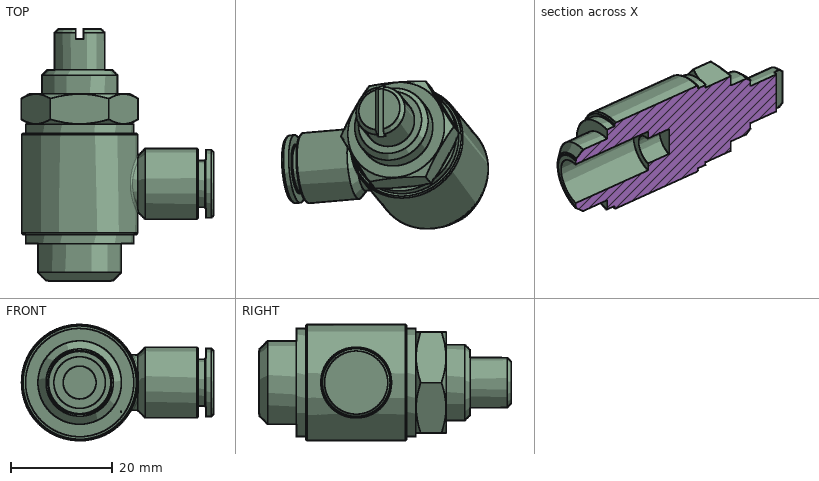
import cadquery as cq
import math


BODY_RADIUS = 11.5
BODY_HALF_LENGTH = 10.0
BODY_CHAMFER = 0.3
COLLAR_RADIUS = 10.7
COLLAR_HALF_LENGTH = 11.8

NOSE_RADIUS = 8.25
NOSE_END = -19.1
NOSE_CHAMFER = 1.6
LIP_BASE_RADIUS = 6.3
LIP_TOP_RADIUS = 6.15
LIP_HEIGHT = 0.15
OVERALL_LENGTH = 49.89

BORE_RADIUS = 5.1
BORE_FLOOR = -2.0
INNER_BORE_RADIUS = 3.25
INNER_BORE_FLOOR = 3.0

HEX_ACROSS_FLATS = 20.0
HEX_HEIGHT = 6.0
HEX_CHAMFER_ANGLE = 30.0
HEX_FACE_RADIUS = 9.9
SHOULDER_RADIUS = 7.5
SHOULDER_END = 22.5
SHOULDER_CHAMFER = 1.05
SCREW_RADIUS = 5.0
SCREW_CHAMFER = 0.8
SLOT_WIDTH = 1.5
SLOT_DEPTH = 2.0

NECK_RADIUS = 5.5
NECK_FILLET = 0.5
BRANCH_RADIUS = 7.0
BRANCH_CONE_START = 11.45
BRANCH_END = 23.45
BRANCH_CHAMFER = 0.3
RING_NECK_RADIUS = 4.65
RING_NECK_CHAMFER = 0.25
RING_RADIUS = 6.75
RING_START = 24.95
RING_END = 26.5
RING_CHAMFER = 0.5

LIP_END = NOSE_END - LIP_HEIGHT
SCREW_END = LIP_END + OVERALL_LENGTH
HEX_START = COLLAR_HALF_LENGTH
HEX_END = HEX_START + HEX_HEIGHT


def turned_about_y(profile):
    """Solid of revolution about Y from (radius, y) points, closed along the axis."""
    points = [(0, profile[0][1])] + profile + [(0, profile[-1][1])]
    return cq.Workplane("XY").polyline(points).close().revolve(360, (0, 0, 0), (0, 1, 0))


def turned_about_x(profile):
    """Solid of revolution about X from (x, radius) points, closed along the axis."""
    points = [(profile[0][0], 0)] + profile + [(profile[-1][0], 0)]
    return cq.Workplane("XY").polyline(points).close().revolve(360, (0, 0, 0), (1, 0, 0))


def cylinder_along_y(radius, start, end):
    return turned_about_y([(radius, start), (radius, end)])


def body_with_neck():
    """Chamfered body joined to the branch neck by a small fillet."""
    body = cylinder_along_y(BODY_RADIUS, -BODY_HALF_LENGTH, BODY_HALF_LENGTH)
    body = body.faces("<Y or >Y").chamfer(BODY_CHAMFER)
    neck = turned_about_x([(0, NECK_RADIUS), (BRANCH_END, NECK_RADIUS)])
    return body.union(neck).edges("%BSPLINE").fillet(NECK_FILLET)


def nose():
    face_radius = NOSE_RADIUS - NOSE_CHAMFER
    return turned_about_y([
        (LIP_TOP_RADIUS, LIP_END),
        (LIP_BASE_RADIUS, NOSE_END),
        (face_radius, NOSE_END),
        (NOSE_RADIUS, NOSE_END + NOSE_CHAMFER),
        (NOSE_RADIUS, 0),
    ])


def hexagon():
    """Hexagon with corners on +X and -X, its corners turned down by a cone at both ends."""
    corner_radius = HEX_ACROSS_FLATS / math.sqrt(3)
    cone_height = (corner_radius - HEX_FACE_RADIUS) * math.tan(math.radians(HEX_CHAMFER_ANGLE))
    prism = (
        cq.Workplane("XZ", origin=(0, HEX_END, 0))
        .polygon(6, 2 * corner_radius)
        .extrude(HEX_HEIGHT)
    )
    envelope = turned_about_y([
        (HEX_FACE_RADIUS, HEX_START),
        (corner_radius, HEX_START + cone_height),
        (corner_radius, HEX_END - cone_height),
        (HEX_FACE_RADIUS, HEX_END),
    ])
    return prism.intersect(envelope)


def shoulder():
    return cylinder_along_y(SHOULDER_RADIUS, 0, SHOULDER_END).faces(">Y").chamfer(SHOULDER_CHAMFER)


def adjusting_screw():
    screw = cylinder_along_y(SCREW_RADIUS, HEX_END, SCREW_END).faces(">Y").chamfer(SCREW_CHAMFER)
    slot = cq.Workplane("XY").box(SLOT_WIDTH, 2 * SLOT_DEPTH, 2 * SCREW_RADIUS)
    return screw.cut(slot.translate((0, SCREW_END, 0)))


def branch():
    """Tube socket with a back cone, and a release ring on a narrow neck."""
    cone_length = BRANCH_RADIUS - NECK_RADIUS
    return turned_about_x([
        (BRANCH_CONE_START, NECK_RADIUS),
        (BRANCH_CONE_START + cone_length, BRANCH_RADIUS),
        (BRANCH_END - BRANCH_CHAMFER, BRANCH_RADIUS),
        (BRANCH_END, BRANCH_RADIUS - BRANCH_CHAMFER),
        (BRANCH_END, RING_NECK_RADIUS),
        (RING_START - RING_NECK_CHAMFER, RING_NECK_RADIUS),
        (RING_START, RING_NECK_RADIUS + RING_NECK_CHAMFER),
        (RING_START, RING_RADIUS),
        (RING_END - RING_CHAMFER, RING_RADIUS),
        (RING_END, RING_RADIUS - RING_CHAMFER),
    ])


def stepped_bore():
    return turned_about_y([
        (BORE_RADIUS, LIP_END),
        (BORE_RADIUS, BORE_FLOOR),
        (INNER_BORE_RADIUS, BORE_FLOOR),
        (INNER_BORE_RADIUS, INNER_BORE_FLOOR),
    ])


result = body_with_neck()
result = result.union(cylinder_along_y(COLLAR_RADIUS, -COLLAR_HALF_LENGTH, COLLAR_HALF_LENGTH))
for feature in (nose(), hexagon(), shoulder(), adjusting_screw(), branch()):
    result = result.union(feature)
result = result.cut(stepped_bore())